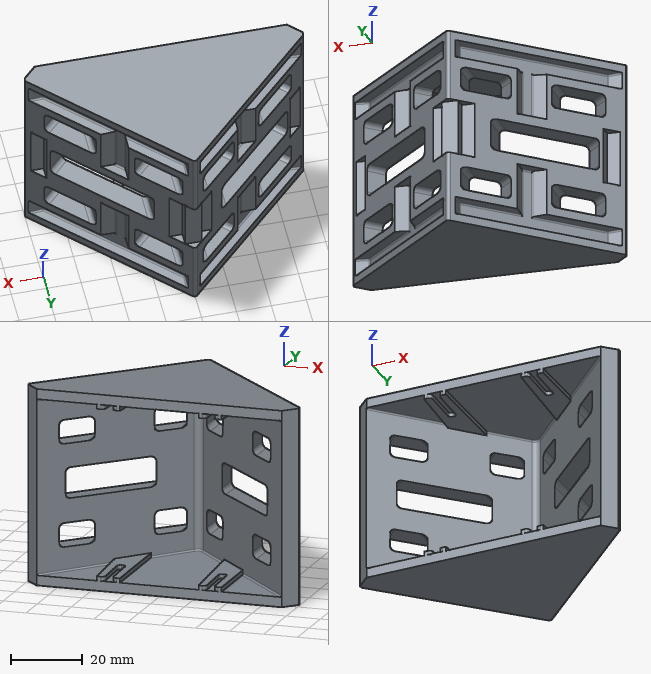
import cadquery as cq
import math

ROOT2 = math.sqrt(2)

WIDTH = 79.6
DEPTH = 44.2
HEIGHT = 57.0
APEX_RADIUS = 0.95
END_CHAMFER = 3.75

WING_THICKNESS = 6.0
INNER_CORNER_RADIUS = 1.9
APEX_Y = DEPTH + APEX_RADIUS * (ROOT2 - 1)
INNER_APEX_Y = APEX_Y - WING_THICKNESS * ROOT2

PLATE_FRONT = 2.95
PLATE_REAR = 4.05
PLATE_FILLET = 0.5
PLATE_SLOPE = (PLATE_REAR - PLATE_FRONT) / INNER_APEX_Y

BOLT_SLOT_SPANS = ((4.1, 20.15), (32.9, 50.0))
BOLT_SLOT_HEIGHT = 6.9
BOLT_SLOT_Z = 15.0
CENTRE_SLOT_SPAN = (13.7, 48.0)
CENTRE_SLOT_HEIGHT = 9.4
CENTRE_SLOT_INNER_HEIGHT = 8.9
OPENING_RADIUS = 1.5

POCKET_DEPTH = 3.0
POCKET_RADIUS = 0.5
GROOVE_SPAN = (2.4, 55.25)
GROOVE_HEIGHT = 5.0
GROOVE_Z = 23.6
GROOVE_DRAFT = 0.2
STEM_SPAN = (22.1, 31.4)
STEM_END_Z = 7.6

NOTCH_STARTS = (3.35, 49.3)
NOTCH_WIDTH = 5.25
NOTCH_HEIGHT = 16.1

PAD_X = 15.0
PAD_FRONT_WIDTH = 6.8
PAD_TAPER = 0.033
PAD_RISE = 1.3
PAD_SLOT_WIDTH = 2.3
PAD_SLOT_LENGTH = 12.1
PAD_SLOT_END_RADIUS = 0.95
PAD_MOUTH_RADIUS = 1.1

OVERLAP = 0.8

SQUARE = 0
DIAGONAL = 1

LEFT_FACE = cq.Plane(origin=(0, APEX_Y, 0), xDir=(-1, -1, 0), normal=(1, -1, 0))
FLOOR = cq.selectors.DirectionMinMaxSelector(LEFT_FACE.zDir)
DEPTH_EDGES = -cq.selectors.PerpendicularDirSelector(LEFT_FACE.zDir)


def prism(points, height):
    """Plan outline extruded symmetrically about Z = 0."""
    return cq.Workplane("XY").polyline(points).close().extrude(height / 2, both=True)


def tapered_block(span, height, depth, start_slope, end_slope, side_slope=0.0, z=0.0):
    """Block sunk into the left outer face; slopes are the wall shifts per unit of depth."""

    def section(level):
        start = span[0] + start_slope * level
        end = span[1] - end_slope * level
        section_height = height - 2 * side_slope * level
        middle = LEFT_FACE.toWorldCoords(((start + end) / 2, 0, level))
        plane = cq.Plane(origin=middle + cq.Vector(0, 0, z), xDir=LEFT_FACE.xDir, normal=LEFT_FACE.zDir)
        return cq.Workplane(plane).rect(end - start, section_height).wires().val()

    return cq.Workplane(cq.Solid.makeLoft([section(-OVERLAP), section(depth)], True))


def body():
    """Solid prism with a rounded apex and trimmed wing tips."""
    tip_x = WIDTH / 2
    tip_y = APEX_Y - tip_x
    chamfer_x = tip_x - END_CHAMFER
    outline = [(-chamfer_x, 0), (chamfer_x, 0), (tip_x, END_CHAMFER), (tip_x, tip_y),
               (0, APEX_Y), (-tip_x, tip_y), (-tip_x, END_CHAMFER)]
    return prism(outline, HEIGHT).edges("|Z and >Y").fillet(APEX_RADIUS)


def between_plates(front_half_height):
    """Wedge between two sloping planes, given its half height at the front face."""
    front = front_half_height + PLATE_SLOPE * OVERLAP
    rear = front_half_height - PLATE_SLOPE * DEPTH
    outline = [(-OVERLAP, -front), (-OVERLAP, front), (DEPTH, rear), (DEPTH, -rear)]
    return cq.Workplane("YZ").polyline(outline).close().extrude(WIDTH, both=True)


def cavity():
    """Space between the wings and the plates, rounded where they meet."""
    half_width = INNER_APEX_Y + OVERLAP
    hollow = prism([(-half_width, -OVERLAP), (half_width, -OVERLAP), (0, INNER_APEX_Y)], HEIGHT)
    hollow = hollow.edges("|Z and >Y").fillet(INNER_CORNER_RADIUS)
    hollow = hollow.intersect(between_plates(HEIGHT / 2 - PLATE_FRONT))
    for plate_side in (">Z", "<Z"):
        hollow = hollow.faces(plate_side).edges("not <Y").fillet(PLATE_FILLET)
    return hollow


def pads():
    """Four tapered pads, each lying on a plate and running back into a wing."""
    front_half = PAD_FRONT_WIDTH / 2
    rear_half = front_half + PAD_TAPER * DEPTH
    slot_half = PAD_SLOT_WIDTH / 2
    mouth_half = slot_half + PAD_MOUTH_RADIUS
    end_half = slot_half - PAD_SLOT_END_RADIUS
    slot_straight = PAD_SLOT_LENGTH - PAD_SLOT_END_RADIUS

    def pad(x):
        return (
            cq.Workplane("XY", origin=(x, 0, 0))
            .moveTo(-front_half, 0)
            .lineTo(-mouth_half, 0)
            .radiusArc((-slot_half, PAD_MOUTH_RADIUS), -PAD_MOUTH_RADIUS)
            .lineTo(-slot_half, slot_straight)
            .radiusArc((-end_half, PAD_SLOT_LENGTH), PAD_SLOT_END_RADIUS)
            .lineTo(end_half, PAD_SLOT_LENGTH)
            .radiusArc((slot_half, slot_straight), PAD_SLOT_END_RADIUS)
            .lineTo(slot_half, PAD_MOUTH_RADIUS)
            .radiusArc((mouth_half, 0), -PAD_MOUTH_RADIUS)
            .lineTo(front_half, 0)
            .lineTo(rear_half, DEPTH)
            .lineTo(-rear_half, DEPTH)
            .close()
            .extrude(HEIGHT / 2, both=True)
        )

    limit = APEX_Y - WING_THICKNESS
    plan_limit = prism([(-limit, 0), (limit, 0), (0, limit)], HEIGHT)
    columns = pad(-PAD_X).union(pad(PAD_X)).intersect(plan_limit)
    return columns.cut(between_plates(HEIGHT / 2 - PLATE_FRONT - PAD_RISE))


def opening(span, height, side_slope=0.0, z=0.0):
    """Through opening whose apex end is parallel to Y and whose other end is square."""
    depth = WING_THICKNESS + OVERLAP
    block = tapered_block(span, height, depth, DIAGONAL, SQUARE, side_slope, z)
    return block.edges(DEPTH_EDGES).fillet(OPENING_RADIUS)


def openings():
    """Centre slot and four bolt slots of the left wing."""
    centre_slope = (CENTRE_SLOT_HEIGHT - CENTRE_SLOT_INNER_HEIGHT) / 2 / WING_THICKNESS
    cutters = opening(CENTRE_SLOT_SPAN, CENTRE_SLOT_HEIGHT, centre_slope)
    for span in BOLT_SLOT_SPANS:
        for z in (-BOLT_SLOT_Z, BOLT_SLOT_Z):
            cutters = cutters.add(opening(span, BOLT_SLOT_HEIGHT, z=z))
    return cutters.combine()


def t_pocket():
    """Upper T pocket: a long groove with a stem reaching towards the middle."""
    side_slope = GROOVE_DRAFT / POCKET_DEPTH
    groove = tapered_block(GROOVE_SPAN, GROOVE_HEIGHT, POCKET_DEPTH, DIAGONAL, DIAGONAL, side_slope, GROOVE_Z)
    groove = groove.faces(FLOOR).edges().add(groove.edges(DEPTH_EDGES)).fillet(POCKET_RADIUS)

    stem_height = GROOVE_Z - STEM_END_Z
    stem_z = (GROOVE_Z + STEM_END_Z) / 2
    stem = tapered_block(STEM_SPAN, stem_height, POCKET_DEPTH, DIAGONAL, DIAGONAL, z=stem_z)
    stem = stem.faces(FLOOR).edges("not >Z").fillet(POCKET_RADIUS)
    return groove.union(stem)


def notch(start):
    """V notch with one wall parallel to X and one parallel to Y."""
    upper_x = -start / ROOT2
    lower_x = -(start + NOTCH_WIDTH) / ROOT2
    root_y = APEX_Y + lower_x
    far_x = lower_x - OVERLAP
    far_y = APEX_Y + upper_x + OVERLAP
    outline = [(upper_x, root_y), (far_x, root_y), (far_x, far_y), (upper_x, far_y)]
    return prism(outline, NOTCH_HEIGHT)


def apex_flat():
    """Cutter that flattens the apex down to the start of the upper notches."""
    half_width = NOTCH_STARTS[0] / ROOT2
    flat_y = APEX_Y - half_width
    outline = [(-half_width, flat_y), (half_width, flat_y), (half_width, APEX_Y), (-half_width, APEX_Y)]
    return prism(outline, NOTCH_HEIGHT)


def left_wing_cuts():
    """All cutters of the left wing; the right wing uses their mirror images."""
    pocket = t_pocket()
    cuts = [openings(), pocket, pocket.mirror("XY")]
    cuts += [notch(start) for start in NOTCH_STARTS]
    return cuts


result = body().cut(cavity()).union(pads())
for cut in left_wing_cuts():
    result = result.cut(cut).cut(cut.mirror("YZ"))
result = result.cut(apex_flat())